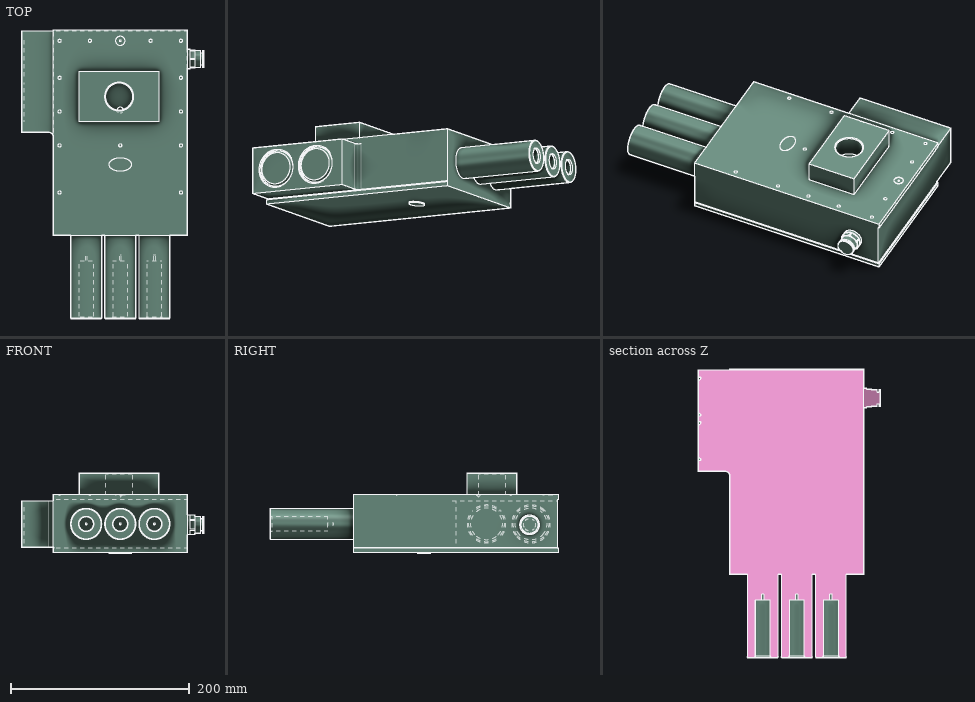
import cadquery as cq
import math


overall_length = 323
housing_width = 150.0
housing_length = 229.5
housing_height = 65.0
side_x = housing_width / 2

base_thickness = 5.0
seam_height = 1.0
seam_depth = 0.3
rear_recess_depth = 1.3
rear_lip_thickness = 5.8

side_block_depth = 35.2
side_block_bottom = base_thickness + seam_height
side_block_height = 52.0
side_block_length = 113.5
side_block_rear = housing_length - rear_recess_depth
side_block_front = side_block_rear - side_block_length
side_block_fillet = 5.2

ring_outer_diameter = 43.0
ring_floor_diameter = 40.0
ring_inner_diameter = 35.5
ring_depth = 2.5
ring_spacing = 49.7
ring_middle_y = 173.8

tube_diameter = 35.0
tube_length = overall_length - housing_length
tube_spacing = 38.0
tube_chamfer = 0.5
axis_height = 32.0
bore_diameter = 16.0
bore_mouth_diameter = 17.0
bore_mouth_depth = 2.3
bore_depth = 64.5
pilot_diameter = 2.0
pilot_depth = 6.5

screw_diameter = 3.5
screw_depth = 1.3
screw_edge_x = 67.8
screw_rear_y = 217.5
screw_middle_rows = [176.0, 138.2, 100.5, 47.8]
centre_screw_y = 100.5
plug_diameter = 10.3
plug_depth = 0.5

covered_screw_diameter = 6.8
covered_screw_depth = 2.5
covered_screw_y = 140.0

badge_length = 25.2
badge_width = 15.0
badge_y = 79.0
badge_height = 1.15
badge_recess_depth = 0.3

top_block_width = 89.0
top_block_length = 56.0
top_block_height = 24.0
top_block_x = -1.3
top_block_y = 155.0
top_hole_diameter = 30.5
top_hole_chamfer = 1.0

connector_y = 197
connector_height = 31.0
flange_diameter = 22.0
flange_length = 3.2
hex_across_flats = 19.7
hex_corner_diameter = flange_diameter
hex_length = 5.2
barrel_diameter = 19.0
barrel_length = 6.5
neck_diameter = 13.5
neck_length = 2.0
tip_length = 1.5

tube_axes = [-tube_spacing, 0, tube_spacing]
screw_rows = [screw_rear_y] + screw_middle_rows
screw_points = [(x, y) for x in (-screw_edge_x, screw_edge_x) for y in screw_rows]
screw_points += [(x, screw_rear_y) for x in (-screw_edge_x / 2, screw_edge_x / 2)]
screw_points += [(0, screw_rear_y), (0, centre_screw_y)]


def centred_box(width, length, height, x, y, z):
    """Box centred on (x, y) that stands on height z."""
    return cq.Workplane("XY").box(width, length, height, centered=(True, True, False)).translate((x, y, z))


def cylinder_along_y(diameter, length, x, y):
    """Cylinder on a tube axis that starts at y and runs toward the rear."""
    return cq.Workplane("XZ", origin=(x, y, axis_height)).circle(diameter / 2).extrude(-length)


def make_envelope():
    """Housing box with the side block, its corner fillet and the three front tubes."""
    box = cq.Workplane("XY").box(housing_width, housing_length, housing_height, centered=(True, False, False))
    rear_recess = cq.Workplane("XY").box(
        housing_width,
        rear_recess_depth,
        housing_height - base_thickness - rear_lip_thickness,
        centered=(True, False, False),
    ).translate((0, side_block_rear, base_thickness))
    box = box.cut(rear_recess)
    side_block = (
        cq.Workplane("XY", origin=(0, 0, side_block_bottom))
        .moveTo(-side_x, side_block_rear)
        .lineTo(-side_x - side_block_depth, side_block_rear)
        .lineTo(-side_x - side_block_depth, side_block_front)
        .lineTo(-side_x - side_block_fillet, side_block_front)
        .radiusArc((-side_x, side_block_front - side_block_fillet), side_block_fillet)
        .close()
        .extrude(side_block_height)
    )
    envelope = box.union(side_block)
    for x in tube_axes:
        tube = cylinder_along_y(tube_diameter, tube_length, x, -tube_length)
        envelope = envelope.union(tube.faces("<Y").chamfer(tube_chamfer))
    return envelope


def tube_bore(x):
    """Blind bore with a slightly wider mouth and a small pilot hole in its floor."""
    bore = cylinder_along_y(bore_diameter, bore_depth, x, -tube_length)
    mouth = cylinder_along_y(bore_mouth_diameter, bore_mouth_depth, x, -tube_length)
    pilot = cylinder_along_y(pilot_diameter, pilot_depth, x, bore_depth - tube_length)
    return bore.union(mouth).union(pilot)


def seam_groove(side):
    """Groove along one side, just above the base; side is -1 for left and 1 for right."""
    return centred_box(
        2 * seam_depth, housing_length, seam_height, side * side_x, housing_length / 2, base_thickness
    )


def ring_groove(y):
    """Ring groove in the left face of the side block, with a conical inner wall."""
    return (
        cq.Workplane("XY")
        .moveTo(ring_inner_diameter / 2, 0)
        .lineTo(ring_outer_diameter / 2, 0)
        .lineTo(ring_outer_diameter / 2, ring_depth)
        .lineTo(ring_floor_diameter / 2, ring_depth)
        .close()
        .revolve(360, (0, 0, 0), (0, 1, 0))
        .rotate((0, 0, 0), (0, 0, 1), -90)
        .translate((-side_x - side_block_depth, y, axis_height))
    )


def countersinks(points, mouth_diameter, depth):
    """Conical recesses in the top face, each narrowing to a point."""
    recess = cq.Solid.makeCone(0, mouth_diameter / 2, depth)
    recesses = cq.Workplane("XY", origin=(0, 0, housing_height - depth)).pushPoints(points)
    return recesses.eachpoint(lambda place: recess.moved(place))


def plug_recess():
    """Round recess around the middle screw of the rear row."""
    return (
        cq.Workplane("XY", origin=(0, screw_rear_y, housing_height))
        .circle(plug_diameter / 2)
        .extrude(-plug_depth)
    )


def badge(bottom, height):
    """Oval plate standing on the given height."""
    return (
        cq.Workplane("XY", origin=(0, badge_y, bottom))
        .ellipse(badge_length / 2, badge_width / 2)
        .extrude(height)
    )


def make_housing():
    """Housing with tubes and side block, and every bore, groove, screw recess and badge."""
    housing = make_envelope()
    for x in tube_axes:
        housing = housing.cut(tube_bore(x))
    for side in (-1, 1):
        housing = housing.cut(seam_groove(side))
    for offset in (-ring_spacing / 2, ring_spacing / 2):
        housing = housing.cut(ring_groove(ring_middle_y + offset))
    housing = housing.cut(plug_recess())
    housing = housing.cut(countersinks(screw_points, screw_diameter, screw_depth))
    covered_points = [(0, covered_screw_y)]
    housing = housing.cut(countersinks(covered_points, covered_screw_diameter, covered_screw_depth))
    housing = housing.cut(badge(housing_height - badge_recess_depth, badge_recess_depth))
    return housing.union(badge(-badge_height, badge_height))


def make_top_block():
    """Block on top of the housing with a vertical through hole."""
    return (
        centred_box(top_block_width, top_block_length, top_block_height, top_block_x, top_block_y, housing_height)
        .faces(">Z")
        .workplane(origin=(top_block_x, top_block_y, 0))
        .circle(top_hole_diameter / 2)
        .cutThruAll()
        .faces(">Z")
        .edges("%CIRCLE")
        .chamfer(top_hole_chamfer)
    )


def make_connector():
    """Connector of coaxial sections: flange, hexagon, barrel, neck and tip, from the housing outward."""
    axis_start = (side_x, connector_y, connector_height)
    flange = cq.Workplane("YZ", origin=axis_start).circle(flange_diameter / 2).extrude(flange_length)
    hexagon = (
        flange.faces(">X")
        .workplane()
        .transformed(rotate=(0, 0, 90))
        .polygon(6, hex_across_flats / math.cos(math.pi / 6))
        .extrude(hex_length, combine=False)
    )
    corner_round = (
        flange.faces(">X")
        .workplane()
        .circle(hex_corner_diameter / 2)
        .extrude(hex_length, combine=False)
    )
    connector = flange.union(hexagon.intersect(corner_round))
    sections = [
        (barrel_diameter, barrel_length),
        (neck_diameter, neck_length),
        (barrel_diameter, tip_length),
    ]
    for diameter, length in sections:
        connector = connector.faces(">X").workplane().circle(diameter / 2).extrude(length)
    return connector


housing = make_housing()
top_block = make_top_block()
connector = make_connector()

result = cq.Compound.makeCompound([housing.val(), top_block.val(), connector.val()])